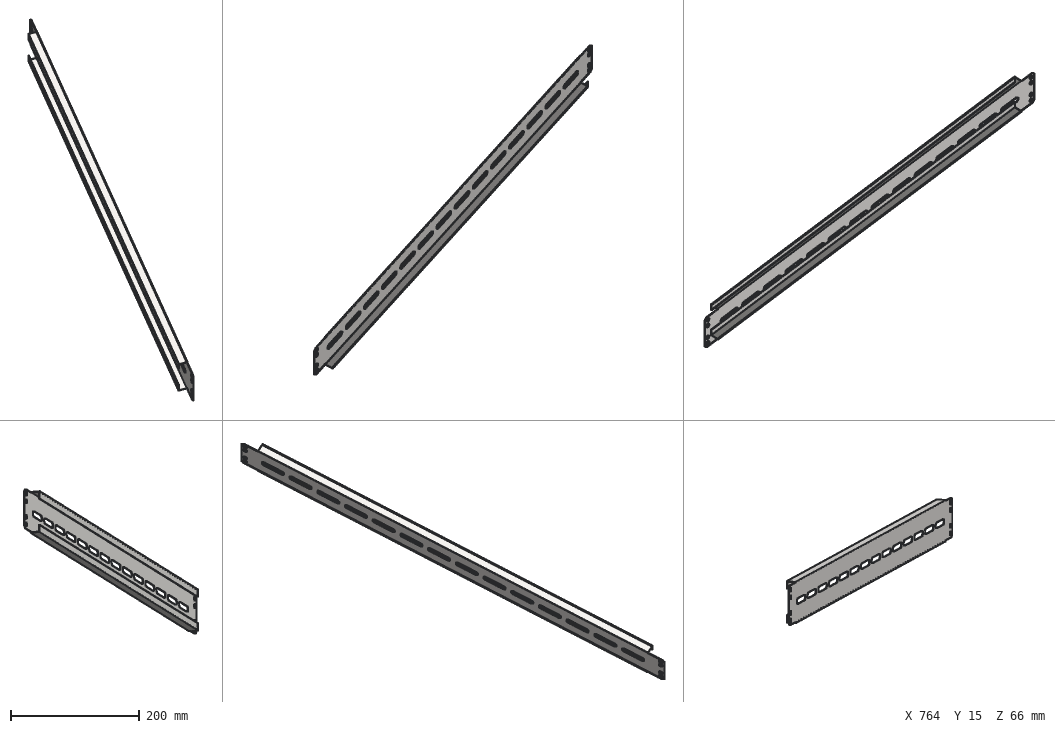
import cadquery as cq

overall_length = 764.0
overall_depth = 15.0
overall_height = 66.0
sheet_thickness = 1.5

end_tab_length = 30.0
lip_height = 12.0
channel_length = overall_length - 2 * end_tab_length

tab_height = overall_height - 2 * sheet_thickness
tab_corner_chamfer = 4.0

slot_count = 14
slot_pitch = 50.0
slot_length = 40.0
slot_width = 9.0

mount_hole_diameter = 6.5
mount_hole_edge_distance = 7.0
mount_hole_heights = (12.5, 24.5)

web_front_y = overall_depth / 2 - sheet_thickness


def front_sketch():
    """Workplane on the front face of the web: local axes X and Z, normal -Y."""
    return cq.Workplane("XZ", origin=(0, web_front_y, 0))


def lipped_channel():
    """C-shaped channel with its open side, between the lips, facing -Y."""
    outside = cq.Workplane("XY").box(channel_length, overall_depth, overall_height)
    inside = cq.Workplane("XY").box(
        channel_length,
        overall_depth - 2 * sheet_thickness,
        overall_height - 2 * sheet_thickness,
    )
    opening = front_sketch().rect(channel_length, overall_height - 2 * lip_height).extrude(overall_depth)
    return outside.cut(inside).cut(opening)


def full_length_web():
    """Flat plate forming the channel back and both end tabs, with clipped corners."""
    plate = front_sketch().rect(overall_length, tab_height).extrude(-sheet_thickness)
    return plate.edges("|Y").chamfer(tab_corner_chamfer)


def web_slot_points():
    first_x = -slot_pitch * (slot_count - 1) / 2
    return [(first_x + i * slot_pitch, 0) for i in range(slot_count)]


def web_slot_cutter():
    """Round-ended slots through the web, lying along X."""
    sketch = front_sketch().pushPoints(web_slot_points())
    return sketch.slot2D(slot_length, slot_width).extrude(-sheet_thickness)


def mount_hole_points():
    x = overall_length / 2 - mount_hole_edge_distance
    return [
        (x_side * x, z_side * z)
        for x_side in (-1, 1)
        for z_side in (-1, 1)
        for z in mount_hole_heights
    ]


def mount_hole_cutter():
    """Round holes through both tabs."""
    sketch = front_sketch().pushPoints(mount_hole_points())
    return sketch.circle(mount_hole_diameter / 2).extrude(-sheet_thickness)


result = lipped_channel().union(full_length_web())
result = result.cut(web_slot_cutter())
result = result.cut(mount_hole_cutter())